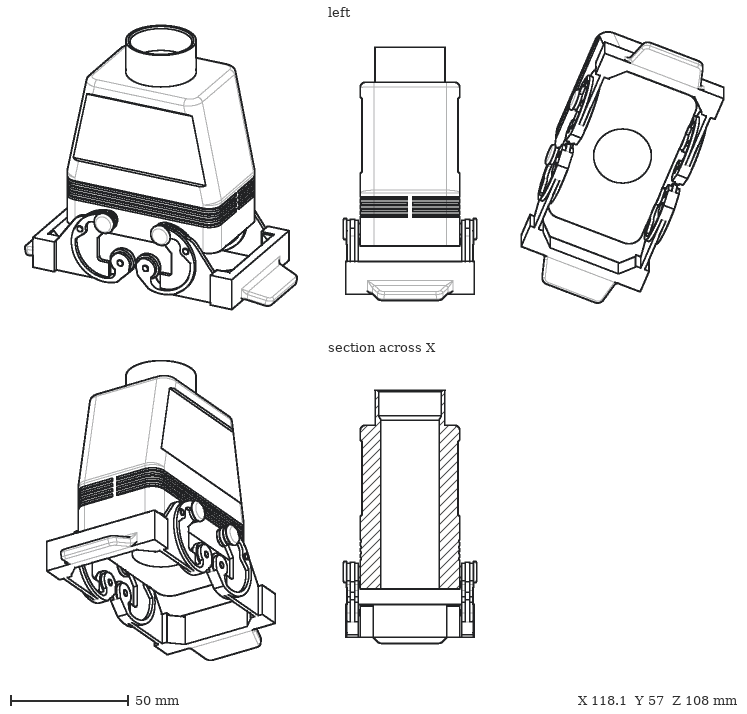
import cadquery as cq
import math


hood_bottom = 20.5
hood_top = 90.5
hood_half_x = 36.4
hood_half_y = 21.3
hood_top_half_x = 26.8
taper_start = 43.9
corner_radius = 5.9
shoulder_radius = 5.9
top_radius = 2.4

panel_low = 51.5
panel_high = 84.2
panel_depth = 0.7

groove_count = 4
groove_top_z = 41.0
groove_pitch = 2.5
groove_half_height = 0.7
groove_depth = 0.5
groove_gap = 2.4

neck_top = 105.3
neck_radius = 15.0
neck_bore_radius = 13.2
neck_rim_chamfer = 0.7
neck_bore_depth = 11.0
seat_height = 1.8
bore_radius = 12.3

cheek_inner_y = 22.0
web_inner_y = 23.5
web_outer_y = 25.4
cheek_outer_y = 26.9
head_outer_y = 28.52

arm_center = (-13.5, 15.8)
arm_radius = 15.8
arm_inner_radius = 13.9
arm_web_step = 0.2
pivot_center = (arm_center[0], 27.9)
pivot_cheek_radius = 3.8
pivot_web_radius = 4.3
pivot_pin_radius = 2.4
head_radius = 4.6
head_front_round = 1.1
head_back_round = 0.5
hook_center = (-6.0, 10.5)
hook_web_radius = 5.5
hook_cheek_radius = 4.5
hook_line_angle = -45
notch_center = (-12.3, 5.8)
notch_radius = 3.8
rivet_center = (-25.2, 22.5)
rivet_boss_radius = 2.7
rivet_radius = 1.4
rivet_chamfer = 0.2
rivet_stand_out = 0.2

window_left = -17.6
window_low = 8.6
window_high = 19.2
window_round = 1.7

frame_outer_x = 47.4
frame_inner_x = 37.2
frame_half_y = 27.4
frame_height = 14.0
frame_wall = 4.1
frame_opening_half_y = 21.3
gusset_size = 5.5
gusset_drop = 0.8

handle_angle = 15
handle_reach = 11.2
handle_thickness = 4.1
handle_root_half_y = 16.5
handle_tip_half_y = 13.2
handle_corner_radius = 3.0
handle_edge_radius = 1.1
handle_root_radius = 2.2


def polar(center, radius, degrees):
    """Point on a circle at the given angle."""
    angle = math.radians(degrees)
    return (center[0] + radius * math.cos(angle), center[1] + radius * math.sin(angle))


def angle_of(center, point):
    return math.degrees(math.atan2(point[1] - center[1], point[0] - center[0]))


def notch_meeting(hook_radius):
    """Lower right crossing of the notch circle and a hook circle."""
    dx = hook_center[0] - notch_center[0]
    dz = hook_center[1] - notch_center[1]
    span = math.hypot(dx, dz)
    cosine = (span**2 + notch_radius**2 - hook_radius**2) / (2 * span * notch_radius)
    turn = math.degrees(math.acos(cosine))
    return polar(notch_center, notch_radius, angle_of(notch_center, hook_center) - turn)


def slab(outline, y_near, y_far):
    """Extrude a closed XZ outline on the -Y side between two distances from Y = 0."""
    return outline.extrude(y_far - y_near).translate((0, -y_near, 0))


def disc(center, radius, y_near, y_far):
    return slab(cq.Workplane("XZ").center(*center).circle(radius), y_near, y_far)


def both_sides(body, plane):
    return body.union(body.mirror(plane))


def make_hood():
    lean = math.atan2(hood_half_x - hood_top_half_x, hood_top - taper_start)
    tangent = shoulder_radius * math.tan(lean / 2)
    arc_top = (hood_half_x - tangent * math.sin(lean), taper_start + tangent * math.cos(lean))
    arc_mid = polar((hood_half_x - shoulder_radius, taper_start - tangent), shoulder_radius,
                    math.degrees(lean / 2))
    half_profile = (
        cq.Workplane("XZ")
        .moveTo(0, hood_bottom)
        .lineTo(hood_half_x, hood_bottom)
        .lineTo(hood_half_x, taper_start - tangent)
        .threePointArc(arc_mid, arc_top)
        .lineTo(hood_top_half_x, hood_top)
        .lineTo(0, hood_top)
        .close()
    )
    block = both_sides(half_profile.extrude(hood_half_y, both=True), "YZ").clean()
    block = block.edges("(not #Z) and (not |Y)").fillet(corner_radius)
    return block.faces(">Z").edges().fillet(top_radius)


def make_panel():
    """Cutter for the panel on the -Y side, with sloping upper and lower ends."""
    floor_y = hood_half_y - panel_depth
    return (
        cq.Workplane("YZ")
        .polyline([
            (-hood_half_y, panel_low),
            (-hood_half_y, panel_high),
            (-floor_y, panel_high - panel_depth),
            (-floor_y, panel_low + panel_depth),
        ])
        .close()
        .extrude(hood_half_x, both=True)
    )


def rounded_block(height, taper=0.0):
    outline = cq.Sketch().rect(2 * hood_half_x, 2 * hood_half_y).vertices().fillet(corner_radius)
    return cq.Workplane("XY").placeSketch(outline).extrude(height, taper=taper)


def make_groove():
    """Ring of V section around the hood, left out at the middle of the narrow sides."""
    slope = math.degrees(math.atan2(groove_depth, groove_half_height))
    upper_core = rounded_block(-groove_half_height, slope).translate((0, 0, groove_half_height))
    core = both_sides(upper_core, "XY")
    band = cq.Workplane("XY").box(3 * hood_half_x, 3 * hood_half_y, 2 * groove_half_height)
    gap = cq.Workplane("XY").box(3 * hood_half_x, groove_gap, 2 * groove_half_height)
    return band.cut(core).cut(gap)


def make_bore():
    """Stepped bore: chamfered mouth, neck bore, sloping seat and through hole."""
    seat_z = neck_top - neck_bore_depth
    return (
        cq.Workplane("XZ")
        .polyline([
            (0, neck_top),
            (neck_bore_radius + neck_rim_chamfer, neck_top),
            (neck_bore_radius, neck_top - neck_rim_chamfer),
            (neck_bore_radius, seat_z),
            (bore_radius, seat_z - seat_height),
            (bore_radius, hood_bottom),
            (0, hood_bottom),
        ])
        .close()
        .revolve(360, (0, 0), (0, 1))
    )


arm_top = polar(arm_center, arm_radius, 90)
arm_bottom = polar(arm_center, arm_radius, -90)
hook_tangent = polar(hook_center, hook_web_radius, hook_line_angle)
line_distance = (
    (hook_tangent[0] - arm_center[0]) * math.cos(math.radians(hook_line_angle))
    + (hook_tangent[1] - arm_center[1]) * math.sin(math.radians(hook_line_angle))
)
arm_end_angle = hook_line_angle - math.degrees(math.acos(line_distance / arm_radius))
arm_end = polar(arm_center, arm_radius, arm_end_angle)
arm_end_mid = polar(arm_center, arm_radius, (arm_end_angle - 90) / 2)
notch_bottom = polar(notch_center, notch_radius, -90)


def make_web():
    """Middle layer, running from the frame to the hook."""
    meeting = notch_meeting(hook_web_radius)
    notch_mid = polar(notch_center, notch_radius, (angle_of(notch_center, meeting) - 90) / 2)
    round_center = (window_left + window_round, window_low + window_round)
    brow_low = (-29.3, 24.9)
    brow_mid = (-27.0, 27.0)
    brow_radius = arm_radius + arm_web_step
    brow_high = polar(arm_center, brow_radius, 130)
    outline = (
        cq.Workplane("XZ")
        .moveTo(-frame_inner_x, 0)
        .lineTo(*arm_bottom)
        .threePointArc(arm_end_mid, arm_end)
        .lineTo(*hook_tangent)
        .threePointArc(polar(hook_center, hook_web_radius, 90), meeting)
        .threePointArc(notch_mid, notch_bottom)
        .lineTo(notch_center[0], window_low)
        .lineTo(round_center[0], window_low)
        .threePointArc(polar(round_center, window_round, -135), (window_left, round_center[1]))
        .lineTo(window_left, window_high)
        .lineTo(pivot_center[0], pivot_center[1] - pivot_web_radius)
        .lineTo(arm_center[0], arm_center[1] + brow_radius)
        .threePointArc(polar(arm_center, brow_radius, 110), brow_high)
        .threePointArc(brow_mid, brow_low)
        .lineTo(-frame_inner_x, frame_height)
        .close()
    )
    return slab(outline, web_inner_y, web_outer_y).union(
        disc(pivot_center, pivot_web_radius, web_inner_y, web_outer_y)
    )


def make_cheek(y_near, y_far):
    """Crescent-shaped outer layer with a boss around the upper rivet."""
    meeting = notch_meeting(hook_cheek_radius)
    notch_mid = polar(notch_center, notch_radius, (angle_of(notch_center, meeting) - 90) / 2)
    boss_low = polar(rivet_center, rivet_boss_radius, -70)
    boss_high = polar(rivet_center, rivet_boss_radius, 0)
    inner_top = polar(arm_center, arm_inner_radius, 174)
    neck_mid = (-21.1, 26.5)
    neck_end = (-18.3, 27.0)
    outline = (
        cq.Workplane("XZ")
        .moveTo(*arm_top)
        .threePointArc(polar(arm_center, arm_radius, 180), arm_bottom)
        .threePointArc(arm_end_mid, arm_end)
        .lineTo(*hook_tangent)
        .lineTo(*polar(hook_center, hook_cheek_radius, 0))
        .threePointArc(polar(hook_center, hook_cheek_radius, 110), meeting)
        .threePointArc(notch_mid, notch_bottom)
        .lineTo(arm_center[0], arm_center[1] - arm_inner_radius)
        .threePointArc(polar(arm_center, arm_inner_radius, -138), inner_top)
        .lineTo(*boss_low)
        .threePointArc(polar(rivet_center, rivet_boss_radius, -35), boss_high)
        .threePointArc(neck_mid, neck_end)
        .lineTo(pivot_center[0], neck_end[1])
        .close()
    )
    return slab(outline, y_near, y_far).union(disc(pivot_center, pivot_cheek_radius, y_near, y_far))


def make_rivet(center):
    body = disc(center, rivet_radius, cheek_inner_y - rivet_stand_out, cheek_outer_y + rivet_stand_out)
    return body.faces("<Y or >Y").chamfer(rivet_chamfer)


def make_lever_side():
    """One sandwich of web and cheeks, held by the pivot and two rivets."""
    side = make_web()
    side = side.union(make_cheek(cheek_inner_y, web_inner_y))
    side = side.union(make_cheek(web_outer_y, cheek_outer_y))
    head = disc(pivot_center, head_radius, cheek_outer_y, head_outer_y)
    head = head.faces("<Y").edges().fillet(head_front_round)
    side = side.union(head.faces(">Y").edges().fillet(head_back_round))
    side = side.union(disc(pivot_center, pivot_pin_radius, hood_half_y, cheek_inner_y))
    for center in (rivet_center, hook_center):
        side = side.union(make_rivet(center))
    return side


def make_frame():
    """Bridge between the two lever sides, U-shaped from above, with corner gussets."""
    wall_x = -frame_outer_x + frame_wall
    frame = (
        cq.Workplane("XY")
        .polyline([
            (-frame_outer_x, -frame_half_y),
            (-frame_inner_x, -frame_half_y),
            (-frame_inner_x, -frame_opening_half_y),
            (wall_x, -frame_opening_half_y),
            (wall_x, 0),
            (-frame_outer_x, 0),
        ])
        .close()
        .extrude(frame_height)
    )
    gusset = (
        cq.Workplane("XY")
        .polyline([
            (wall_x, -frame_opening_half_y),
            (wall_x + gusset_size, -frame_opening_half_y),
            (wall_x, -frame_opening_half_y + gusset_size),
        ])
        .close()
        .extrude(frame_height - gusset_drop)
    )
    return both_sides(frame.union(gusset), "XZ").clean()


def flare_points(corner, slope):
    """Points of the concave root fillet, where an edge leaning inwards by slope meets the frame.

    Returns the tangent point on the frame, the middle of the arc and the tangent point on the edge.
    """
    half_turn = (math.pi / 2 - slope) / 2
    setback = handle_root_radius * math.tan(half_turn)
    bisector = math.pi - half_turn
    arc_distance = handle_root_radius / math.cos(half_turn) - handle_root_radius
    on_frame = (corner[0], corner[1] + setback)
    arc_mid = (
        corner[0] + arc_distance * math.cos(bisector),
        corner[1] + arc_distance * math.sin(bisector),
    )
    on_edge = (corner[0] - setback * math.cos(slope), corner[1] - setback * math.sin(slope))
    return on_frame, arc_mid, on_edge


def make_handle():
    """Rounded trapezoid plate, drooping outwards, flared where it meets the frame."""
    droop = math.radians(handle_angle)
    tip_bottom = (
        -frame_outer_x - handle_reach * math.cos(droop),
        -handle_reach * math.sin(droop),
    )
    tip_top = (
        tip_bottom[0] - handle_thickness * math.sin(droop),
        tip_bottom[1] + handle_thickness * math.cos(droop),
    )
    root_top = (-frame_outer_x, handle_thickness / math.cos(droop))
    on_frame, arc_mid, on_edge = flare_points(root_top, droop)
    side_view = (
        cq.Workplane("XZ")
        .moveTo(-frame_outer_x, 0)
        .lineTo(*tip_bottom)
        .lineTo(*tip_top)
        .lineTo(*on_edge)
        .threePointArc(arc_mid, on_frame)
        .close()
        .extrude(frame_half_y, both=True)
    )

    root_corner = (-frame_outer_x, handle_root_half_y)
    narrowing = math.atan2(handle_root_half_y - handle_tip_half_y, root_corner[0] - tip_top[0])
    on_frame, arc_mid, on_edge = flare_points(root_corner, narrowing)
    half_plan = (
        cq.Workplane("XY")
        .moveTo(-frame_outer_x, 0)
        .lineTo(*on_frame)
        .threePointArc(arc_mid, on_edge)
        .lineTo(tip_top[0], handle_tip_half_y)
        .lineTo(tip_top[0], 0)
        .close()
        .extrude(frame_height, both=True)
    )
    plate = side_view.intersect(both_sides(half_plan, "XZ").clean())
    tip_face = plate.faces(cq.selectors.NearestToPointSelector((tip_top[0], 0, 0)))
    plate = plate.newObject(tip_face.edges("not |Y").vals()).fillet(handle_corner_radius)
    tip_face = plate.faces(cq.selectors.NearestToPointSelector((tip_top[0], 0, 0)))
    return plate.newObject(tip_face.edges("|Y").vals()).fillet(handle_edge_radius)


def make_lever():
    lever = make_frame().union(make_handle())
    return lever.union(both_sides(make_lever_side(), "XZ"))


hood = make_hood()
hood = hood.cut(both_sides(make_panel(), "XZ"))
for index in range(groove_count):
    hood = hood.cut(make_groove().translate((0, 0, groove_top_z - index * groove_pitch)))
neck_height = neck_top - hood_top
hood = hood.union(cq.Workplane("XY").workplane(offset=hood_top).circle(neck_radius).extrude(neck_height))
hood = hood.cut(make_bore())

result = hood.union(both_sides(make_lever(), "YZ"))